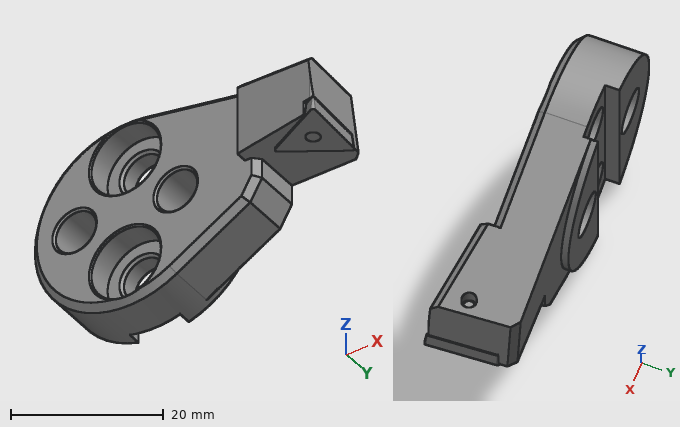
import cadquery as cq
import math

LENGTH = 48.0
DEPTH = 13.5
DISC_DIAMETER = 30.0
DISC_THICKNESS = 9.0
ARM_BACK = 7.95
EDGE_CHAMFER = 1.0

ARM_ANGLE = 10.0
TAIL_ANGLE = 30.0
CORNER_ANGLE = 60.0
TAIL_END = 21.0
TAIL_CORNER_Z = -3.0

SLOT_WIDTH = 7.95
SLOT_DEPTH = 2.0

HOLE_DIAMETER = 6.4
SCREW_HOLE_OFFSET = 8.5
DOWEL_HOLE_OFFSET = 8.0
DOWEL_HOLE_CHAMFER = 0.35
SCREW_HOLE_CHAMFER = 0.45
COUNTERBORE_DIAMETER = 11.0
COUNTERBORE_DEPTH = 4.0
COUNTERBORE_CHAMFER = 0.25

HEAD_START = 19.0
HEAD_STEP = 1.8
HEAD_SLOPE = 10.0
HEAD_BOTTOM = 0.05
END_X = 32.65
END_YAW = 3.0
RELIEF_ANGLE = 7.0
NOSE_CORNER_RADIUS = 0.65

INSERT_INSCRIBED = 6.35
INSERT_THICKNESS = 2.35
INSERT_NOSE_RADIUS = 0.4
INSERT_BOTTOM = -0.2

NOTCH_SETBACK = 2.3
NOTCH_REACH = 1.45

SCREW_DIAMETER = 2.0
SCREW_TIP_CHAMFER = 0.2
SCREW_TIP_Z = 8.0
SCREW_OFFSET = 0.15

DISC_RADIUS = DISC_DIAMETER / 2
ARM_SLOPE = math.tan(math.radians(ARM_ANGLE))
TALL = 2 * DISC_DIAMETER

TIP_X = LENGTH - DISC_RADIUS
TIP_Y = DISC_THICKNESS - DEPTH
END_EDGE_DIRECTION = 90 + END_YAW
FRONT_EDGE_DIRECTION = END_EDGE_DIRECTION + 60
NOSE_BISECTOR = END_EDGE_DIRECTION + 30
INSERT_EDGE = INSERT_INSCRIBED * math.sqrt(3)


def polar(start, angle, distance):
    """The point at a distance from start, in a direction given in degrees."""
    turn = math.radians(angle)
    return (start[0] + distance * math.cos(turn), start[1] + distance * math.sin(turn))


NOSE_CENTRE = (TIP_X - INSERT_NOSE_RADIUS, TIP_Y + INSERT_NOSE_RADIUS)
INSERT_CORNER = polar(NOSE_CENTRE, NOSE_BISECTOR + 180, 2 * INSERT_NOSE_RADIUS)
INSERT_CENTRE = polar(INSERT_CORNER, NOSE_BISECTOR, INSERT_INSCRIBED)
SCREW_CENTRE = polar(INSERT_CENTRE, END_EDGE_DIRECTION + 90, SCREW_OFFSET)


def arm_top(x):
    """Z of the arm's top face, a plane tangent to the disc."""
    return DISC_RADIUS / math.cos(math.radians(ARM_ANGLE)) - x * ARM_SLOPE


def front_plane(y):
    """Workplane at the given Y with X right and Z up; extruding by a negative length goes towards +Y."""
    return cq.Workplane(cq.Plane(origin=(0, y, 0), xDir=(1, 0, 0), normal=(0, -1, 0)))


def make_plate():
    """Disc with the tangent arm and tail, chamfered around its front face."""
    top_tangent = polar((0, 0), 90 - ARM_ANGLE, DISC_RADIUS)
    tail_tangent = polar((0, 0), TAIL_ANGLE - 90, DISC_RADIUS)
    corner_slope = math.tan(math.radians(CORNER_ANGLE))
    tail_slope = math.tan(math.radians(TAIL_ANGLE))
    corner_at_zero = TAIL_CORNER_Z - corner_slope * TAIL_END
    tail_at_zero = -DISC_RADIUS / math.cos(math.radians(TAIL_ANGLE))
    corner_x = (tail_at_zero - corner_at_zero) / (corner_slope - tail_slope)
    plate = (
        front_plane(0)
        .moveTo(*top_tangent)
        .threePointArc((-DISC_RADIUS, 0), tail_tangent)
        .lineTo(corner_x, tail_at_zero + tail_slope * corner_x)
        .lineTo(TAIL_END, TAIL_CORNER_Z)
        .lineTo(TAIL_END, arm_top(TAIL_END))
        .close()
        .extrude(-ARM_BACK)
        .faces("<Y")
        .chamfer(EDGE_CHAMFER)
    )
    boss = (
        front_plane(DISC_THICKNESS)
        .transformed(rotate=(0, 0, 90))
        .circle(DISC_RADIUS)
        .extrude(DISC_THICKNESS - ARM_BACK)
    )
    return plate.union(boss)


def head_front(x):
    """Y of the head's front face."""
    return -HEAD_STEP - (x - HEAD_START) * math.tan(math.radians(HEAD_SLOPE))


def beyond_end_face():
    """Large box past the end face, which leans by the relief angle and is turned about Z."""
    return (
        cq.Workplane("XY")
        .box(TALL, 2 * TALL, 2 * TALL, centered=(False, True, True))
        .rotate((0, 0, 0), (0, 1, 0), -RELIEF_ANGLE)
        .rotate((0, 0, 0), (0, 0, 1), END_YAW)
        .translate((END_X, 0, 0))
    )


def above_arm():
    """Everything above the sloping top face of the arm."""
    return (
        front_plane(-TALL)
        .polyline([(0, arm_top(0)), (TALL, arm_top(TALL)), (TALL, TALL), (0, TALL)])
        .close()
        .extrude(-2 * TALL)
    )


def make_head():
    """Thicker end of the arm, which carries the insert."""
    yaw_slope = math.tan(math.radians(END_YAW))
    front_slope = math.tan(math.radians(HEAD_SLOPE))
    corner_x = (END_X - yaw_slope * head_front(0)) / (1 - yaw_slope * front_slope)
    plan = [
        (HEAD_START, ARM_BACK),
        (HEAD_START, head_front(HEAD_START)),
        (corner_x, head_front(corner_x)),
        (END_X - yaw_slope * ARM_BACK, ARM_BACK),
    ]
    block = cq.Workplane("XY").workplane(offset=HEAD_BOTTOM).polyline(plan).close().extrude(DISC_RADIUS)
    block = block.cut(above_arm())
    block = block.faces("<Y").edges(">Z").chamfer(EDGE_CHAMFER)
    block = block.edges("|Z and <Y").fillet(NOSE_CORNER_RADIUS)
    block = block.cut(beyond_end_face())
    return block.faces(">Y").edges(">X").chamfer(EDGE_CHAMFER)


def cut_slot(body):
    """Key slot across the back of the disc, along Z."""
    slot = cq.Workplane("XY").box(SLOT_WIDTH, SLOT_DEPTH, TALL, centered=(True, False, True))
    return body.cut(slot.translate((0, DISC_THICKNESS - SLOT_DEPTH, 0)))


def stepped_hole(diameter, chamfer, start_y):
    """Cutter along the Y axis through to the back, with a chamfered mouth at start_y."""
    radius = diameter / 2
    hole = front_plane(start_y).circle(radius).extrude(-DISC_THICKNESS)
    mouth = cq.Solid.makeCone(
        radius + chamfer, radius, chamfer, pnt=cq.Vector(0, start_y, 0), dir=cq.Vector(0, 1, 0)
    )
    return hole.union(cq.Workplane(mouth))


def cut_holes(body):
    """Two counterbored screw holes along Z and two plain dowel holes along X."""
    dowel_hole = stepped_hole(HOLE_DIAMETER, DOWEL_HOLE_CHAMFER, 0)
    counterbore = stepped_hole(COUNTERBORE_DIAMETER, COUNTERBORE_CHAMFER, 0)
    counterbore = counterbore.intersect(
        cq.Workplane("XY").box(TALL, COUNTERBORE_DEPTH, TALL, centered=(True, False, True))
    )
    screw_hole = stepped_hole(HOLE_DIAMETER, SCREW_HOLE_CHAMFER, COUNTERBORE_DEPTH).union(counterbore)
    for side in (-1, 1):
        body = body.cut(dowel_hole.translate((side * DOWEL_HOLE_OFFSET, 0, 0)))
        body = body.cut(screw_hole.translate((0, 0, side * SCREW_HOLE_OFFSET)))
    return body


def make_insert_blank():
    """Insert without its hole: a rounded triangle whose flanks lean inwards towards the top."""
    corners = [
        INSERT_CORNER,
        polar(INSERT_CORNER, END_EDGE_DIRECTION, INSERT_EDGE),
        polar(INSERT_CORNER, FRONT_EDGE_DIRECTION, INSERT_EDGE),
        INSERT_CORNER,
    ]
    outline = cq.Sketch().polygon(corners).vertices().fillet(INSERT_NOSE_RADIUS)
    return (
        cq.Workplane("XY")
        .workplane(offset=INSERT_BOTTOM)
        .placeSketch(outline)
        .extrude(INSERT_THICKNESS, taper=RELIEF_ANGLE)
    )


def make_notch():
    """Clearance beside the cutting nose, square to the insert's front edge."""
    start = polar(INSERT_CORNER, FRONT_EDGE_DIRECTION, NOTCH_SETBACK)
    return (
        cq.Workplane("XY")
        .box(2 * NOTCH_SETBACK, NOTCH_REACH, INSERT_THICKNESS, centered=(False, True, False))
        .rotate((0, 0, 0), (0, 0, 1), FRONT_EDGE_DIRECTION - 180)
        .translate((start[0], start[1], INSERT_BOTTOM))
    )


def make_screw():
    """Upright screw body that fills the hole from the cutting face to below the arm's top."""
    return (
        cq.Workplane("XY")
        .workplane(offset=INSERT_BOTTOM)
        .center(*SCREW_CENTRE)
        .circle(SCREW_DIAMETER / 2)
        .extrude(SCREW_TIP_Z - INSERT_BOTTOM)
        .faces(">Z")
        .chamfer(SCREW_TIP_CHAMFER)
    )


def make_screw_hole():
    """Cutter for the hole that runs right through the insert and the head."""
    return (
        cq.Workplane("XY")
        .workplane(offset=-TALL)
        .center(*SCREW_CENTRE)
        .circle(SCREW_DIAMETER / 2)
        .extrude(2 * TALL)
    )


def make_holder():
    """Disc, arm and head in one piece, with the pocket for the insert."""
    plate = cut_holes(cut_slot(make_plate()))
    holder = plate.union(make_head())
    return holder.cut(make_insert_blank()).cut(make_notch()).cut(make_screw_hole())


holder = make_holder()
insert = make_insert_blank().cut(make_screw_hole())
screw = make_screw()
result = cq.Compound.makeCompound([holder.solids().val(), insert.solids().val(), screw.solids().val()])